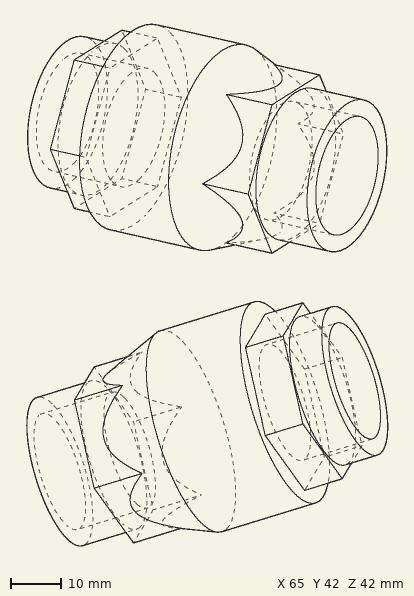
import cadquery as cq
import math

total_length = 65.0
left_hex_start = 7.1
body_start = 15.4
cone_start = 36.1
right_hex_end = 53.1

body_diameter = 42.0
pipe_diameter = 31.0
bore_diameter = 24.2
hex_across_flats = 32.0
hex_sides = 6

cone_end = 48.8

socket_depth = body_start


def cylinder(start, end, diameter):
    """Round bar along X between two stations."""
    return cq.Workplane("YZ", origin=(start, 0, 0)).circle(diameter / 2).extrude(end - start)


def hexagon(start, end):
    """Hexagonal bar along X with flats facing up and down and corners on the Y axis."""
    corner_radius = hex_across_flats / 2 / math.cos(math.pi / hex_sides)
    angles = [2 * math.pi * i / hex_sides for i in range(hex_sides)]
    corners = [(corner_radius * math.cos(a), corner_radius * math.sin(a)) for a in angles]
    return cq.Workplane("YZ", origin=(start, 0, 0)).polyline(corners).close().extrude(end - start)


def body():
    """Cylindrical body with its conical shoulder."""
    radius = body_diameter / 2
    return (
        cq.Workplane("XY")
        .moveTo(body_start, 0)
        .lineTo(body_start, radius)
        .lineTo(cone_start, radius)
        .lineTo(cone_end, hex_across_flats / 2)
        .lineTo(cone_end, 0)
        .close()
        .revolve(360, (0, 0, 0), (1, 0, 0))
    )


outside = (
    cylinder(0, total_length, pipe_diameter)
    .union(hexagon(left_hex_start, body_start))
    .union(hexagon(cone_start, right_hex_end))
    .union(body())
)

left_socket = cylinder(0, socket_depth, bore_diameter)
right_socket = cylinder(total_length - socket_depth, total_length, bore_diameter)

result = outside.cut(left_socket).cut(right_socket)